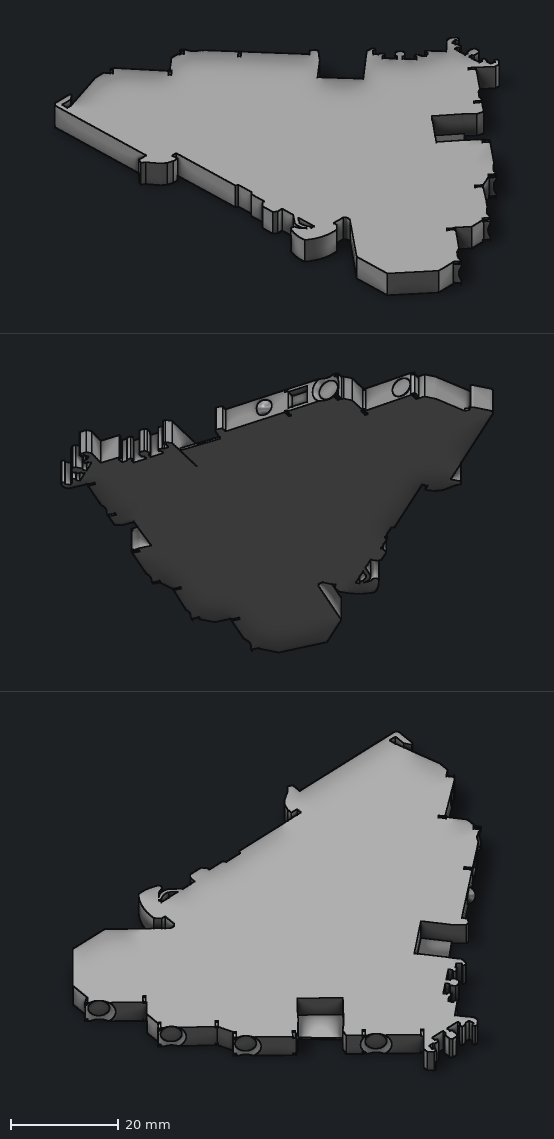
import cadquery as cq
import math


THICKNESS = 5.0
FLOOR = 0.5
FLANK_ANGLE = 40.0

BASE_Y = 2.4
FOOT_X = -44.95
FOOT_RADIUS = 0.9
RAIL_SEAT_Y = 6.8
RAIL_RELIEF_Y = 7.35
LEFT_X = -45.25
RIGHT_X = 46.0

HEAD_FLOOR_Y = 67.4
HOOK_TOP = 3.0
SIDE_CONNECTOR = (-8.45, 57.95)
NECK = (3.85, 65.75)

POCKET = [(12.75, 53.25), (8.85, 48.55), (15.35, 43.0), (19.05, 47.5)]

FOOT_WALL = [(-44.5, 7.05), (-43.6, 5.8), (-43.6, 3.5), (-42.2, 3.5), (-42.2, 4.3)]
FOOT_SLOT = FOOT_WALL + [(-43.2, 7.85), (-43.7, 7.05)]

RECESS_RADIUS = 2.95
RECESS_FLOOR_RADIUS = 2.0
RECESS_DEPTH = 0.9
RIGHT_RECESSES = [(10.65, 60.0), (29.35, 44.4), (38.2, 33.4), (43.9, 19.4)]
LEFT_RECESS = (-38.3, 33.45)

TEST_RADIUS = 1.95
TEST_DEPTH = 0.1
TEST_POINT = (-43.2, 20.3)
DOME_RADIUS = 1.65
DOME_CENTRE = (-27.85, 41.75)

MARK_WIDTH = 0.55
MARK_LENGTH = 1.45
MARK_DEPTH = 0.4
RIGHT_MARKS = [
    (4.25, 65.45), (12.55, 58.3), (22.6, 50.0), (31.04, 42.85),
    (31.7, 38.5), (40.1, 31.74), (37.6, 24.7), (RIGHT_X, 17.75),
]
LEFT_MARKS = [(-31.75, 38.75), (-40.0, 32.0), (-37.0, 25.45), (LEFT_X, 18.3)]

WINDOW_CORNER = (-35.4, 36.4)
WINDOW_WIDTH = 4.1
WINDOW_DEPTH = 2.0
WINDOW_HEIGHT = 3.6


def mirrored(points):
    """Mirror points in X = 0 and reverse their order."""
    return [(-x, y) for x, y in reversed(points)]


def placed(points, origin, angle):
    """Turn points by an angle in degrees, then move them to an origin."""
    c = math.cos(math.radians(angle))
    s = math.sin(math.radians(angle))
    return [(origin[0] + x * c - y * s, origin[1] + x * s + y * c) for x, y in points]


HEAD_POST_TOP = [(0.5, 2.75), (0.9, 2.3)]
SIDE_POST_TOP = [(0.5, 2.45), (0.9, 2.0)]
POST_NECK = [(0.9, 0.95), (0.5, 0.75), (0.5, 0)]
LOBE = [(3.2, 0), (3.2, 0.7), (2.75, 0.95), (2.95, 1.55), (3.8, 1.45), (4.05, 1.2)]
GROOVE = [(4.95, 1.2), (5.15, 2.2), (4.6, 2.5)]
HOOK_BACK = [(4.85, HOOK_TOP), (5.35, HOOK_TOP), (6.3, 2.1), (6.3, 1.1)]
INNER_CONNECTOR = POST_NECK + LOBE + GROOVE


def head_outline():
    """Left neck, connector and right neck at the top of the part."""
    half = HEAD_POST_TOP + INNER_CONNECTOR + HOOK_BACK
    connector = mirrored(half) + half
    return mirrored([NECK]) + placed(connector, (0, HEAD_FLOOR_Y), 0) + [NECK]


def right_flank():
    """Stepped right flank from the head down to the lower right corner."""
    upper_tier = [(14.9, 56.35), (14.5, 54.9)] + POCKET
    middle_tiers = [(20.6, 49.3), (22.0, 50.4), (22.65, 50.0), (31.05, 42.85), (30.2, 41.75), (31.45, 38.75)]
    lower_tiers = [
        (40.1, 31.75), (39.25, 30.9), (39.25, 27.65), (37.2, 25.3),
        (RIGHT_X, 17.75), (44.75, 16.8), (44.75, 12.95), (38.4, 5.65), (30.5, 5.65),
    ]
    return upper_tier + middle_tiers + lower_tiers


def left_flank():
    """Stepped left flank from the clip foot up to the connector on the flank."""
    foot_slot = [(FOOT_X, 6.6), (-44.85, 7.05)] + FOOT_WALL
    lower_tiers = [
        (LEFT_X, 14.2), (LEFT_X, 16.4), (-44.3, 17.2), (LEFT_X, 18.3), (-44.8, 19.0),
        (-37.1, 25.1), (-37.0, 25.7), (-39.45, 28.7), (-39.45, 30.4),
        (-39.2, 30.65), (-40.1, 31.7), (-39.9, 32.1),
    ]
    latch = [(-21.65, 47.4), (-22.45, 48.3), (-21.65, 49.3), (-21.1, 49.3)]
    inner_half = SIDE_POST_TOP + INNER_CONNECTOR
    connector = mirrored(inner_half + HOOK_BACK) + inner_half
    return (
        foot_slot + lower_tiers + latch + mirrored(POCKET)[:-1]
        + placed(connector, SIDE_CONNECTOR, FLANK_ANGLE) + [(-6.8, 63.15)]
    )


def add_lines(outline, points):
    """Continue an outline through the points with straight lines."""
    for point in points:
        outline = outline.lineTo(*point)
    return outline


def rail_side():
    """Underside from the foot to the spring strap: rail lip, rail seat and rail stop."""
    rail_lip = [
        (-20.8, BASE_Y), (-20.8, 0.45), (-19.85, 0), (-19.3, 0.75),
        (-17.0, BASE_Y), (-16.25, 3.4), (-15.85, 4.6),
    ]
    rail_seat = [
        (-15.85, 5.7), (-17.25, 5.7), (-17.25, RAIL_SEAT_Y),
        (-2.0, RAIL_SEAT_Y), (-1.7, RAIL_RELIEF_Y),
    ]
    rail_stop = [
        (1.8, RAIL_RELIEF_Y), (2.1, RAIL_SEAT_Y), (5.5, RAIL_SEAT_Y), (5.5, 6.35), (6.35, 5.4),
        (9.05, 5.4), (9.6, 6.2), (9.6, RAIL_RELIEF_Y), (12.5, RAIL_RELIEF_Y), (14.6, 5.6),
    ]
    return rail_lip + rail_seat + rail_stop


def add_catch(outline):
    """Continue an outline round the spring strap and the catch hook to the end of its gap."""
    outline = outline.threePointArc((15.6, 5.35), (17.3, 6.0))
    outline = outline.threePointArc((16.8, 5.35), (15.8, 4.85))
    outline = outline.threePointArc((15.15, 4.15), (15.8, 3.5))
    outline = outline.threePointArc((17.7, 2.95), (19.65, 2.9))
    outline = outline.threePointArc((20.95, 5.0), (21.7, 8.3))
    outline = add_lines(outline, [(21.7, 9.5), (20.6, 10.6), (19.8, 10.6), (19.8, 13.2)])
    return outline.threePointArc((20.65, 13.65), (21.55, 13.25))


def body():
    """Full-thickness plate, outlined counter-clockwise from the foot."""
    outline = cq.Workplane("XY").moveTo(FOOT_X + FOOT_RADIUS, BASE_Y)
    outline = add_lines(outline, rail_side())
    outline = add_catch(outline)
    outline = add_lines(outline, reversed(right_flank()))
    outline = add_lines(outline, reversed(head_outline()))
    outline = add_lines(outline, reversed(left_flank()))
    outline = outline.lineTo(FOOT_X, BASE_Y + FOOT_RADIUS)
    inset = FOOT_RADIUS * (1 - math.sqrt(0.5))
    outline = outline.threePointArc((FOOT_X + inset, BASE_Y + inset), (FOOT_X + FOOT_RADIUS, BASE_Y))
    return outline.close().extrude(THICKNESS)


def thin_floor(points):
    """Skin closing the lower face of an open pocket."""
    return cq.Workplane("XY").polyline(points).close().extrude(FLOOR)


def strap_window():
    """Through opening between the spring strap and the body."""
    return (
        cq.Workplane("XY").moveTo(13.8, RAIL_RELIEF_Y).lineTo(15.1, 6.25)
        .threePointArc((16.3, 6.25), (17.4, 6.8)).lineTo(17.85, 6.6).lineTo(17.85, RAIL_RELIEF_Y)
        .close().extrude(THICKNESS)
    )


def flank_bore(centre, side, floor_radius, mouth_radius, depth):
    """Round tool sunk square into a flank; side is 1 on the right and -1 on the left.

    Above the flank the tool runs on by its own depth, with the same taper.
    """
    normal_angle = math.radians(90 - side * FLANK_ANGLE)
    normal = cq.Vector(math.cos(normal_angle), math.sin(normal_angle), 0)
    floor_centre = cq.Vector(*centre, THICKNESS / 2) - normal * depth
    outer_radius = 2 * mouth_radius - floor_radius
    if floor_radius == mouth_radius:
        return cq.Workplane(cq.Solid.makeCylinder(mouth_radius, 2 * depth, floor_centre, normal))
    return cq.Workplane(cq.Solid.makeCone(floor_radius, outer_radius, 2 * depth, floor_centre, normal))


def flank_block(corner, side, width, length, z_low, height):
    """Block reaching from an outer flank corner toward the middle of the part and into the body."""
    block = cq.Workplane("XY").box(width, length, height, centered=False)
    block = block.translate((-width if side > 0 else 0, -length, z_low))
    block = block.rotate((0, 0, 0), (0, 0, 1), -side * FLANK_ANGLE)
    return block.translate((corner[0], corner[1], 0))


def cut_recesses(part):
    """Screw recesses on both flanks and the shallow round test point."""
    for centre in RIGHT_RECESSES:
        part = part.cut(flank_bore(centre, 1, RECESS_FLOOR_RADIUS, RECESS_RADIUS, RECESS_DEPTH))
    part = part.cut(flank_bore(LEFT_RECESS, -1, RECESS_FLOOR_RADIUS, RECESS_RADIUS, RECESS_DEPTH))
    return part.cut(flank_bore(TEST_POINT, -1, TEST_RADIUS, TEST_RADIUS, TEST_DEPTH))


def cut_marks(part):
    """Marks in the upper and lower face along both flanks."""
    for side, corners in ((1, RIGHT_MARKS), (-1, LEFT_MARKS)):
        for corner in corners:
            for z_low in (0, THICKNESS - MARK_DEPTH):
                part = part.cut(flank_block(corner, side, MARK_WIDTH, MARK_LENGTH, z_low, MARK_DEPTH))
    return part


def side_window():
    """Tool for the window sunk into the left flank."""
    z_low = (THICKNESS - WINDOW_HEIGHT) / 2
    return flank_block(WINDOW_CORNER, -1, WINDOW_WIDTH, WINDOW_DEPTH, z_low, WINDOW_HEIGHT)


def dome():
    """Ball half sunk into the left flank at mid-thickness."""
    return cq.Workplane("XY").sphere(DOME_RADIUS).translate((*DOME_CENTRE, THICKNESS / 2))


result = body().cut(strap_window())
for floor_outline in (POCKET, mirrored(POCKET), FOOT_SLOT):
    result = result.union(thin_floor(floor_outline))
result = cut_recesses(result)
result = result.cut(side_window())
result = cut_marks(result)
result = result.union(dome())